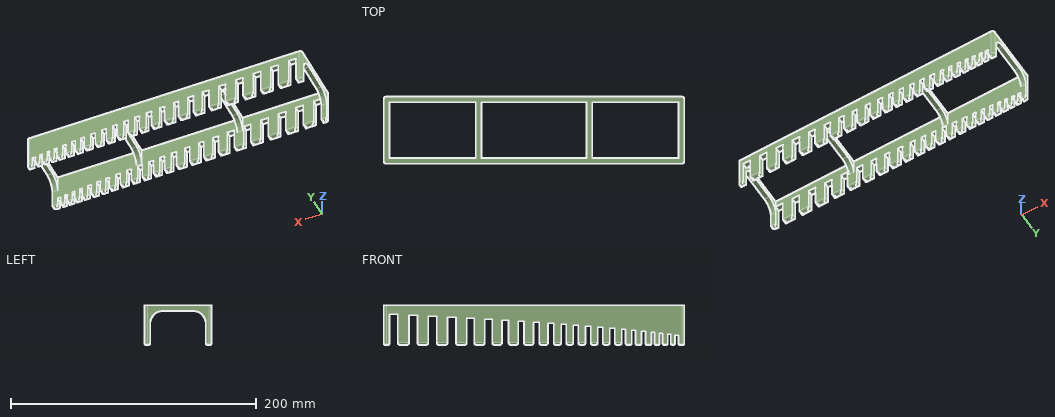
import cadquery as cq

LENGTH = 245.0
WIDTH = 55.0
HEIGHT = 32.5
WALL = 5.0
CORNER_RADIUS = 2.2

END_WINDOW_LENGTH = 70.0
MIDDLE_WINDOW_LENGTH = LENGTH - 2 * END_WINDOW_LENGTH - 4 * WALL
INNER_WIDTH = WIDTH - 2 * WALL
BAR_HEIGHT = WALL
ARCH_RADIUS = 10.0

SLOT_WIDTHS = (
    [6.5] * 4 + [6.0] * 2 + [5.1] + [4.5] * 3 + [4.0] * 5 + [3.0] * 3 + [2.2] * 3 + [2.7]
)
TOOTH_WIDTHS = (
    [9.3] + [9.0] * 3 + [8.8] + [8.0] * 3 + [7.4] + [6.4]
    + [6.0] + [6.1] + [6.0] * 3 + [5.1] * 3 + [4.5] * 2 + [3.7]
)
FIRST_SLOT_TOP = 7.5
SLOT_TOP_STEP = 0.8

TIP_RADIUS = 2.33
NARROW_TIP_RADIUS = 1.7
NARROW_TOOTH_LIMIT = 5.5


def frame():
    """Rounded block standing on Z = 0, centred in X and Y."""
    block = cq.Workplane("XY").box(LENGTH, WIDTH, HEIGHT, centered=(True, True, False))
    return block.edges("|Z").fillet(CORNER_RADIUS)


def windows():
    """Three openings through the top, separated by two cross bars."""
    middle = cq.Workplane("XY").box(
        MIDDLE_WINDOW_LENGTH, INNER_WIDTH, HEIGHT, centered=(True, True, False)
    )
    end_centre = (LENGTH - END_WINDOW_LENGTH) / 2 - WALL
    ends = (
        cq.Workplane("XY")
        .pushPoints([(-end_centre, 0), (end_centre, 0)])
        .rect(END_WINDOW_LENGTH, INNER_WIDTH)
        .extrude(HEIGHT)
    )
    return middle.union(ends)


def arch():
    """Tunnel along X under the cross bars, with rounded upper corners."""
    tunnel = cq.Workplane("XY").box(
        LENGTH, INNER_WIDTH, HEIGHT - BAR_HEIGHT, centered=(True, True, False)
    )
    return tunnel.edges("|X and >Z").fillet(ARCH_RADIUS)


def comb_slots():
    """Open-ended slots through both long walls, shallower towards +X."""
    slots = cq.Workplane("XY")
    start = -LENGTH / 2 + WALL
    widths = zip(SLOT_WIDTHS, TOOTH_WIDTHS + [WALL])
    for index, (slot_width, tooth_width) in enumerate(widths):
        slot_height = HEIGHT - FIRST_SLOT_TOP - index * SLOT_TOP_STEP
        slot = cq.Workplane("XY").box(
            slot_width, WIDTH, slot_height, centered=(False, True, False)
        )
        slots = slots.union(slot.translate((start, 0, 0)))
        start += slot_width + tooth_width
    return slots


def round_tips(body):
    """Round the bottom edges of every tooth and corner leg."""
    solid = body.val()
    for tip in body.faces("<Z").vals():
        is_wide = tip.BoundingBox().xlen > NARROW_TOOTH_LIMIT
        radius = TIP_RADIUS if is_wide else NARROW_TIP_RADIUS
        solid = solid.fillet(radius, tip.Edges())
    return cq.Workplane("XY").newObject(solid.Solids())


comb = frame().cut(windows()).cut(arch()).cut(comb_slots())
result = round_tips(comb)